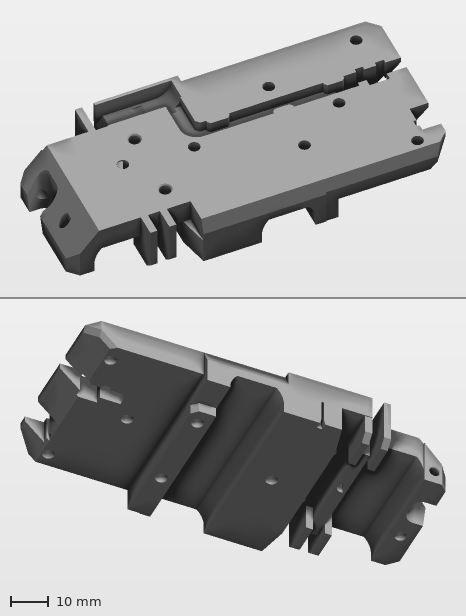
import cadquery as cq
import math

WIDTH = 52.0
LENGTH = 107.7
HEIGHT = 15.0

PLATE_LEFT = 2.25
PLATE_RIGHT = 51.8
PLATE_BOTTOM = 7.0
LEFT_CORNER_CUT = 3.3
RIGHT_CORNER_CUT = 4.2
REAR_BEVEL = 6.3
FACET_TOP = 11.8
FACET_WIDTH = 1.3
FACET_DROP = 1.9

BLOCK_REAR = 74.5
BLOCK_REAR_RIGHT = 70.9
BLOCK_FRONT = 33.0
BLOCK_FRONT_CORNER = 35.1
WEB_BOTTOM = 7.9
CHANNEL_FRONT = 26.15
LEFT_BEVEL_FRONT = 50.7
LEFT_BEVEL_DROP = 4.5
RIGHT_BEVEL_WIDTH = 1.5
RIGHT_BEVEL_DROP = 4.5

ARCH_REAR = 67.8
ARCH_FRONT = 52.1
ARCH_RADIUS = 7.0
ARCH_SPRING = 2.9

FOOT_STEP_HEIGHT = 3.05
FOOT_STEP_DEPTH = 9.1
FOOT_CORNER_CUT = 1.7

TONGUE_LEFT = 9.1
TONGUE_RIGHT = 43.4
NOSE_LEFT = 8.65
NOSE_DEPTH = 7.1
NOSE_SLOPE_RUN = 8.45
NOSE_LIP_HEIGHT = 5.1
NOSE_LEFT_CUT = 2.0
NOSE_RIGHT_CUT = 2.9

RIB_LEFT = 0.25
RIB_RIGHT = 49.65
RIB_THICKNESS = 2.05
RIB_FRONTS = (20.6, CHANNEL_FRONT)
RIB_CORNER_CUT = 2.3
RIB_LEG_LENGTH = 11.0
BRIDGE_LEFT = 9.35
BRIDGE_BOTTOM = 3.2

SLOT_LEFT = 18.2
SLOT_RIGHT = 21.95
SLOT_FRONT = 87.9
SLOT_RAMP_REAR = 90.0
LEFT_NOTCH_DEPTH = 1.1
LEFT_NOTCHES = ((100.55, 103.2), (94.7, 97.05))
RIGHT_NOTCH_DEPTH = 2.05
RIGHT_NOTCH = (96.0, 101.9)
GROOVE_FLOOR = 11.5
GROOVE_RIGHT = 23.05
GROOVE_REAR = 93.5
GROOVE_END = 7.5
GROOVE_TURN_REAR = 48.1
GROOVE_TURN_FRONT = 43.1
GROOVE_BEND_RADIUS = 4.9
INNER_CORNER_CUT = 1.1
CATCH_DEPTH = 1.35
CATCH_CORNER_CUT = 0.8
LEFT_CATCHES = ((85.0, 90.9), (50.9, 57.5))
RIGHT_CATCH = (68.5, 74.35)

REAR_NOTCH_LEFT = 36.3
REAR_NOTCH_RIGHT = 44.6
REAR_NOTCH_FRONT = 102.2
KEY_LEFT = 40.8
KEY_RIGHT = 42.8
KEY_FRONT = 101.3

CHANNEL_LEFT_TOP = 0.95
CHANNEL_LEFT_FLOOR = 1.5
CHANNEL_REAR = 48.4
CHANNEL_STEP_REAR = 46.4
CHANNEL_FLOOR = 10.5
CHANNEL_LIP_REAR = 28.2
CHANNEL_LIP_BOTTOM = 7.9
HOLLOW_LEFT = 2.25
HOLLOW_REAR = 39.2
HOLLOW_FRONT = 36.2
HOLLOW_DEPTH = 0.3

SLIT_CENTRE = 40.75
SLIT_WIDTH = 0.8
SLIT_DEPTH = 2.0
SLIT_FLARE_WIDTH = 1.5
SLIT_FLARE_HEIGHT = 1.5

PLATE_HOLE_DIAMETER = 3.4
PLATE_HOLES = ((7.5, 99.4), (47.7, 99.4), (26.6, 85.9), (13.55, 71.2), (37.0, 71.2), (25.6, 44.1))
SUNK_HOLE_DIAMETER = 3.3
SUNK_RIM_DIAMETER = 4.0
SUNK_HOLES = ((16.5, 30.7), (36.6, 30.7))
HALF_HOLE_DIAMETER = 3.3
HALF_HOLE_RECESS = 0.4
HALF_HOLE_CENTRE = (23.8, 24.1)
HALF_HOLE_TURN = -22.0
NOSE_HOLE_CENTRE = (31.5, 3.8)
NOSE_HOLE_DIAMETER = 3.3
NOSE_HOLE_FLAT = 1.2
CROSS_HOLE_CENTRE = (4.1, 4.1)
CROSS_HOLE_DIAMETER = 2.8
CROSS_RIM_DIAMETER = 3.3

NOZZLE_DIAMETER = 6.2
NOZZLE_AXIS_DEPTH = 2.95
NOZZLE_LEAN_ANGLE = 18.5
NOZZLE_FOOT_LEFT = 20.0
NOZZLE_FOOT_RIGHT = 22.1
NOZZLE_UPRIGHT = 20.75


def box(x0, x1, y0, y1, z0, z1):
    return cq.Workplane("XY").box(x1 - x0, y1 - y0, z1 - z0, centered=False).translate((x0, y0, z0))


def plan_prism(points, z0, z1):
    """Prism with an outline of (x, y) points."""
    return cq.Workplane("XY").workplane(offset=z0).polyline(points).close().extrude(z1 - z0)


def side_prism(points, x0, x1):
    """Prism with an outline of (y, z) points."""
    return cq.Workplane("YZ").workplane(offset=x0).polyline(points).close().extrude(x1 - x0)


def front_prism(points, y0, y1):
    """Prism with an outline of (x, z) points."""
    return cq.Workplane("XZ").workplane(offset=-y0).polyline(points).close().extrude(y0 - y1)


def upright_cylinder(centre, diameter, z0, z1):
    return cq.Workplane("XY").workplane(offset=z0).center(*centre).circle(diameter / 2).extrude(z1 - z0)


def rear_plate():
    outline = [
        (PLATE_LEFT, BLOCK_REAR),
        (PLATE_RIGHT, BLOCK_REAR),
        (PLATE_RIGHT, LENGTH - RIGHT_CORNER_CUT),
        (PLATE_RIGHT - RIGHT_CORNER_CUT, LENGTH),
        (PLATE_LEFT + LEFT_CORNER_CUT, LENGTH),
        (PLATE_LEFT, LENGTH - LEFT_CORNER_CUT),
    ]
    bevel = [
        (LENGTH - REAR_BEVEL, PLATE_BOTTOM),
        (LENGTH, PLATE_BOTTOM),
        (LENGTH, PLATE_BOTTOM + REAR_BEVEL),
    ]
    plate = plan_prism(outline, PLATE_BOTTOM, HEIGHT)
    return plate.cut(side_prism(bevel, 0, WIDTH)).cut(corner_facets())


def corner_facets():
    """Outer side of the two planes that break the underside of the rear left corner.

    They meet in an edge that runs down and inward from the corner; one plane rises
    along the left face and the other along the corner cut, both at 45 degrees.
    """
    corner = (PLATE_LEFT, LENGTH - LEFT_CORNER_CUT, FACET_TOP)
    shared_edge = cq.Vector(FACET_WIDTH, 0, -FACET_DROP)
    facets = cq.Workplane("XY")
    for rise in (cq.Vector(0, 1, 1), cq.Vector(1, 1, 1)):
        outward = rise.cross(shared_edge)
        plane = cq.Plane(origin=corner, xDir=rise, normal=outward)
        facets = facets.union(cq.Workplane(plane).rect(WIDTH, WIDTH).extrude(WIDTH))
    return facets


def arch_rise():
    """Run of an arch's round shoulder between its spring line and its crown."""
    height = WEB_BOTTOM - ARCH_SPRING
    return ARCH_RADIUS - math.sqrt(ARCH_RADIUS**2 - height**2)


def arch_shoulder_middle():
    """Run and height of the middle of the shoulder arc, from its foot."""
    half_angle = math.asin((WEB_BOTTOM - ARCH_SPRING) / ARCH_RADIUS) / 2
    return ARCH_RADIUS * (1 - math.cos(half_angle)), ARCH_RADIUS * math.sin(half_angle)


def cross_arch():
    run, height = arch_shoulder_middle()
    return (
        cq.Workplane("YZ")
        .moveTo(ARCH_FRONT, 0)
        .lineTo(ARCH_FRONT, ARCH_SPRING)
        .threePointArc((ARCH_FRONT + run, ARCH_SPRING + height), (ARCH_FRONT + arch_rise(), WEB_BOTTOM))
        .lineTo(ARCH_REAR - arch_rise(), WEB_BOTTOM)
        .threePointArc((ARCH_REAR - run, ARCH_SPRING + height), (ARCH_REAR, ARCH_SPRING))
        .lineTo(ARCH_REAR, 0)
        .close()
        .extrude(WIDTH)
    )


def foot_step():
    cut_front = BLOCK_REAR - FOOT_CORNER_CUT
    outline = [
        (0, ARCH_REAR),
        (FOOT_STEP_DEPTH, ARCH_REAR),
        (FOOT_STEP_DEPTH, cut_front),
        (FOOT_STEP_DEPTH + FOOT_CORNER_CUT, BLOCK_REAR),
        (0, BLOCK_REAR),
    ]
    return plan_prism(outline, 0, FOOT_STEP_HEIGHT)


def middle_block():
    lower = plan_prism(
        [
            (0, BLOCK_FRONT_CORNER),
            (TONGUE_LEFT, BLOCK_FRONT),
            (TONGUE_RIGHT, BLOCK_FRONT),
            (WIDTH, BLOCK_FRONT_CORNER),
            (WIDTH, BLOCK_REAR_RIGHT),
            (PLATE_RIGHT, BLOCK_REAR_RIGHT),
            (PLATE_RIGHT, BLOCK_REAR),
            (0, BLOCK_REAR),
        ],
        0,
        WEB_BOTTOM,
    )
    upper = box(0, WIDTH, BLOCK_FRONT_CORNER, BLOCK_REAR_RIGHT, WEB_BOTTOM, HEIGHT)
    upper_rear = box(0, PLATE_RIGHT, BLOCK_REAR_RIGHT, BLOCK_REAR, WEB_BOTTOM, HEIGHT)
    channel_side = box(0, TONGUE_LEFT, CHANNEL_FRONT, BLOCK_FRONT_CORNER, WEB_BOTTOM, HEIGHT)
    block = lower.union(upper).union(upper_rear).union(channel_side)
    return block.cut(cross_arch()).cut(foot_step())


def edge_bevels():
    left = [(0, HEIGHT - LEFT_BEVEL_DROP), (PLATE_LEFT, HEIGHT), (0, HEIGHT)]
    right = [
        (WIDTH - RIGHT_BEVEL_WIDTH, HEIGHT),
        (WIDTH, HEIGHT - RIGHT_BEVEL_DROP),
        (WIDTH, HEIGHT),
    ]
    left_bevel = front_prism(left, LEFT_BEVEL_FRONT, BLOCK_REAR)
    return left_bevel.union(front_prism(right, BLOCK_FRONT, LENGTH))


def nose():
    body = plan_prism(
        [
            (NOSE_LEFT, NOSE_LEFT_CUT),
            (NOSE_LEFT + NOSE_LEFT_CUT, 0),
            (TONGUE_RIGHT - NOSE_RIGHT_CUT, 0),
            (TONGUE_RIGHT, NOSE_RIGHT_CUT),
            (TONGUE_RIGHT, NOSE_DEPTH),
            (NOSE_LEFT, NOSE_DEPTH),
        ],
        0,
        HEIGHT,
    )
    run, height = arch_shoulder_middle()
    fillet = (
        cq.Workplane("YZ")
        .workplane(offset=TONGUE_LEFT)
        .moveTo(NOSE_DEPTH, ARCH_SPRING)
        .threePointArc((NOSE_DEPTH + run, ARCH_SPRING + height), (NOSE_DEPTH + arch_rise(), WEB_BOTTOM))
        .lineTo(NOSE_DEPTH, WEB_BOTTOM)
        .close()
        .extrude(TONGUE_RIGHT - TONGUE_LEFT)
    )
    return body.union(fillet)


def nose_slope():
    return side_prism([(0, NOSE_LIP_HEIGHT), (NOSE_SLOPE_RUN, HEIGHT), (0, HEIGHT)], 0, WIDTH)


def tongue():
    deck = box(TONGUE_LEFT, TONGUE_RIGHT, NOSE_DEPTH, BLOCK_FRONT_CORNER, WEB_BOTTOM, HEIGHT)
    bridge_front, bridge_rear = RIB_FRONTS[0] + RIB_THICKNESS, RIB_FRONTS[1]
    bridge = box(BRIDGE_LEFT, TONGUE_RIGHT, bridge_front, bridge_rear, BRIDGE_BOTTOM, HEIGHT)
    beside_bridge = box(TONGUE_LEFT, BRIDGE_LEFT, bridge_front, bridge_rear, 0, HEIGHT)
    return deck.cut(beside_bridge).union(bridge)


def rib(front):
    outline = [
        (RIB_LEFT + RIB_CORNER_CUT, 0),
        (RIB_LEFT + RIB_LEG_LENGTH, 0),
        (RIB_LEFT + RIB_LEG_LENGTH, WEB_BOTTOM),
        (RIB_RIGHT - RIB_LEG_LENGTH, WEB_BOTTOM),
        (RIB_RIGHT - RIB_LEG_LENGTH, 0),
        (RIB_RIGHT - RIB_CORNER_CUT, 0),
        (RIB_RIGHT, RIB_CORNER_CUT),
        (RIB_RIGHT, HEIGHT),
        (RIB_LEFT, HEIGHT),
        (RIB_LEFT, RIB_CORNER_CUT),
    ]
    return front_prism(outline, front, front + RIB_THICKNESS)


def cable_slot():
    slot = box(SLOT_LEFT, SLOT_RIGHT, SLOT_FRONT, LENGTH, 0, HEIGHT)
    for front, rear in LEFT_NOTCHES:
        slot = slot.union(box(SLOT_LEFT - LEFT_NOTCH_DEPTH, SLOT_LEFT, front, rear, 0, HEIGHT))
    front, rear = RIGHT_NOTCH
    slot = slot.union(box(SLOT_RIGHT, SLOT_RIGHT + RIGHT_NOTCH_DEPTH, front, rear, 0, HEIGHT))
    ramp = [(SLOT_FRONT, 0), (SLOT_RAMP_REAR, 0), (SLOT_RAMP_REAR, PLATE_BOTTOM), (SLOT_FRONT, GROOVE_FLOOR)]
    return slot.cut(side_prism(ramp, SLOT_LEFT, SLOT_RIGHT))


def catch(wall, reach, front, rear):
    """Outline block of a catch on a groove wall; its two corners are cut at 45 degrees."""
    tip = wall + reach
    shoulder = tip - math.copysign(CATCH_CORNER_CUT, reach)
    outline = [
        (wall, front),
        (shoulder, front),
        (tip, front + CATCH_CORNER_CUT),
        (tip, rear - CATCH_CORNER_CUT),
        (shoulder, rear),
        (wall, rear),
    ]
    return plan_prism(outline, 0, HEIGHT)


def cable_groove():
    bend_start = GROOVE_TURN_FRONT + GROOVE_BEND_RADIUS
    bend_centre_x = GROOVE_RIGHT - GROOVE_BEND_RADIUS
    diagonal = GROOVE_BEND_RADIUS * math.sqrt(0.5)
    return (
        cq.Workplane("XY")
        .workplane(offset=GROOVE_FLOOR)
        .moveTo(GROOVE_END, GROOVE_TURN_FRONT)
        .lineTo(bend_centre_x, GROOVE_TURN_FRONT)
        .threePointArc((bend_centre_x + diagonal, bend_start - diagonal), (GROOVE_RIGHT, bend_start))
        .lineTo(GROOVE_RIGHT, GROOVE_REAR)
        .lineTo(SLOT_LEFT, GROOVE_REAR)
        .lineTo(SLOT_LEFT, GROOVE_TURN_REAR + INNER_CORNER_CUT)
        .lineTo(SLOT_LEFT - INNER_CORNER_CUT, GROOVE_TURN_REAR)
        .lineTo(GROOVE_END, GROOVE_TURN_REAR)
        .close()
        .extrude(HEIGHT - GROOVE_FLOOR)
    )


def groove_catches():
    catches = catch(GROOVE_RIGHT, -CATCH_DEPTH, *RIGHT_CATCH)
    for front, rear in LEFT_CATCHES:
        catches = catches.union(catch(SLOT_LEFT, CATCH_DEPTH, front, rear))
    return catches


def rear_notch():
    notch = box(REAR_NOTCH_LEFT, REAR_NOTCH_RIGHT, REAR_NOTCH_FRONT, LENGTH, 0, HEIGHT)
    return notch.union(box(KEY_LEFT, KEY_RIGHT, KEY_FRONT, LENGTH, 0, HEIGHT))


def side_channel():
    ramped = (
        cq.Workplane("YZ")
        .moveTo(CHANNEL_FRONT, HEIGHT)
        .lineTo(CHANNEL_FRONT, CHANNEL_LIP_BOTTOM)
        .lineTo(CHANNEL_LIP_REAR, CHANNEL_FLOOR)
        .lineTo(GROOVE_TURN_FRONT, CHANNEL_FLOOR)
        .threePointArc((CHANNEL_STEP_REAR, GROOVE_FLOOR), (CHANNEL_REAR, HEIGHT))
        .close()
        .extrude(TONGUE_LEFT)
    )
    wall_draft = [
        (CHANNEL_LEFT_FLOOR, 0),
        (CHANNEL_LEFT_FLOOR, CHANNEL_FLOOR),
        (CHANNEL_LEFT_TOP, HEIGHT),
        (TONGUE_LEFT, HEIGHT),
        (TONGUE_LEFT, 0),
    ]
    channel = ramped.intersect(front_prism(wall_draft, CHANNEL_FRONT, CHANNEL_REAR))
    corner = box(GROOVE_END, TONGUE_LEFT, CHANNEL_STEP_REAR, CHANNEL_REAR, 0, HEIGHT)
    middle = (HOLLOW_REAR + HOLLOW_FRONT) / 2
    hollow = (
        cq.Workplane("YZ")
        .workplane(offset=HOLLOW_LEFT)
        .moveTo(HOLLOW_FRONT, CHANNEL_FLOOR)
        .threePointArc((middle, CHANNEL_FLOOR - HOLLOW_DEPTH), (HOLLOW_REAR, CHANNEL_FLOOR))
        .close()
        .extrude(TONGUE_LEFT - HOLLOW_LEFT)
    )
    return channel.cut(corner).union(hollow)


def left_slit():
    half, flare = SLIT_WIDTH / 2, SLIT_FLARE_WIDTH / 2
    outline = [
        (SLIT_CENTRE - flare, 0),
        (SLIT_CENTRE - half, SLIT_FLARE_HEIGHT),
        (SLIT_CENTRE - half, WEB_BOTTOM),
        (SLIT_CENTRE + half, WEB_BOTTOM),
        (SLIT_CENTRE + half, SLIT_FLARE_HEIGHT),
        (SLIT_CENTRE + flare, 0),
    ]
    return side_prism(outline, 0, SLIT_DEPTH)


def deck_holes():
    holes = cq.Workplane("XY").pushPoints(PLATE_HOLES).circle(PLATE_HOLE_DIAMETER / 2).extrude(HEIGHT)
    rim_depth = (SUNK_RIM_DIAMETER - SUNK_HOLE_DIAMETER) / 2
    for centre in SUNK_HOLES:
        rim = (
            cq.Workplane("XY")
            .workplane(offset=HEIGHT)
            .center(*centre)
            .circle(SUNK_RIM_DIAMETER / 2)
            .workplane(offset=-rim_depth)
            .circle(SUNK_HOLE_DIAMETER / 2)
            .loft()
        )
        holes = holes.union(upright_cylinder(centre, SUNK_HOLE_DIAMETER, 0, HEIGHT)).union(rim)
    return holes


def half_round_hole():
    """Shallow round recess whose rear half goes through."""
    radius = HALF_HOLE_DIAMETER / 2
    half = (
        cq.Workplane("XY")
        .moveTo(-radius, 0)
        .threePointArc((0, radius), (radius, 0))
        .close()
        .extrude(HEIGHT)
        .rotate((0, 0, 0), (0, 0, 1), HALF_HOLE_TURN)
        .translate((*HALF_HOLE_CENTRE, 0))
    )
    floor = HEIGHT - HALF_HOLE_RECESS
    return half.union(upright_cylinder(HALF_HOLE_CENTRE, HALF_HOLE_DIAMETER, floor, HEIGHT))


def nose_hole():
    """Round hole with a flat on its rear side."""
    flat_y = NOSE_HOLE_CENTRE[1] + NOSE_HOLE_FLAT
    hole = upright_cylinder(NOSE_HOLE_CENTRE, NOSE_HOLE_DIAMETER, 0, HEIGHT)
    return hole.cut(box(0, WIDTH, flat_y, NOSE_SLOPE_RUN, 0, HEIGHT))


def cross_hole():
    """Hole from the nose's left face into the nozzle recess, with a bevelled rim."""
    rim_depth = (CROSS_RIM_DIAMETER - CROSS_HOLE_DIAMETER) / 2
    face = cq.Workplane("YZ").workplane(offset=NOSE_LEFT).center(*CROSS_HOLE_CENTRE)
    hole = face.circle(CROSS_HOLE_DIAMETER / 2).extrude(NOZZLE_FOOT_LEFT - NOSE_LEFT)
    rim = (
        face.circle(CROSS_RIM_DIAMETER / 2)
        .workplane(offset=rim_depth)
        .circle(CROSS_HOLE_DIAMETER / 2)
        .loft()
    )
    return hole.union(rim)


def nozzle_recess():
    """Recess swept by a round nozzle between a leaning and an upright stance, open to the front."""
    radius = NOZZLE_DIAMETER / 2
    slant = math.tan(math.radians(NOZZLE_LEAN_ANGLE))
    half_width = radius / math.cos(math.radians(NOZZLE_LEAN_ANGLE))
    bend_height = (NOZZLE_FOOT_RIGHT - NOZZLE_UPRIGHT) / slant
    back = NOZZLE_AXIS_DEPTH + radius

    leaning_front = [
        (NOZZLE_FOOT_LEFT - half_width, 0),
        (NOZZLE_FOOT_RIGHT + half_width, 0),
        (NOZZLE_FOOT_RIGHT + half_width - HEIGHT * slant, HEIGHT),
        (NOZZLE_FOOT_LEFT - half_width - HEIGHT * slant, HEIGHT),
    ]
    between_axes = [
        (NOZZLE_FOOT_LEFT, 0),
        (NOZZLE_FOOT_RIGHT, 0),
        (NOZZLE_UPRIGHT, bend_height),
        (NOZZLE_UPRIGHT, HEIGHT),
        (NOZZLE_FOOT_LEFT - HEIGHT * slant, HEIGHT),
    ]

    def stance(foot, lean):
        upright = upright_cylinder((0, 0), NOZZLE_DIAMETER, -HEIGHT, 2 * HEIGHT)
        return upright.rotate((0, 0, 0), (0, 1, 0), -lean).translate((foot, NOZZLE_AXIS_DEPTH, 0))

    recess = front_prism(between_axes, 0, back)
    recess = recess.union(front_prism(leaning_front, 0, NOZZLE_AXIS_DEPTH))
    recess = recess.union(stance(NOZZLE_FOOT_LEFT, NOZZLE_LEAN_ANGLE))
    recess = recess.union(stance(NOZZLE_FOOT_RIGHT, NOZZLE_LEAN_ANGLE))
    return recess.union(stance(NOZZLE_UPRIGHT, 0))


body = rear_plate().union(middle_block()).union(tongue()).union(nose())
body = body.cut(edge_bevels()).cut(nose_slope())
for rib_front in RIB_FRONTS:
    body = body.union(rib(rib_front))
body = body.cut(side_channel())
body = body.cut(cable_slot().union(cable_groove()).cut(groove_catches()))
body = body.cut(rear_notch()).cut(left_slit())
body = body.cut(deck_holes()).cut(half_round_hole())
body = body.cut(nose_hole()).cut(cross_hole()).cut(nozzle_recess())

result = body